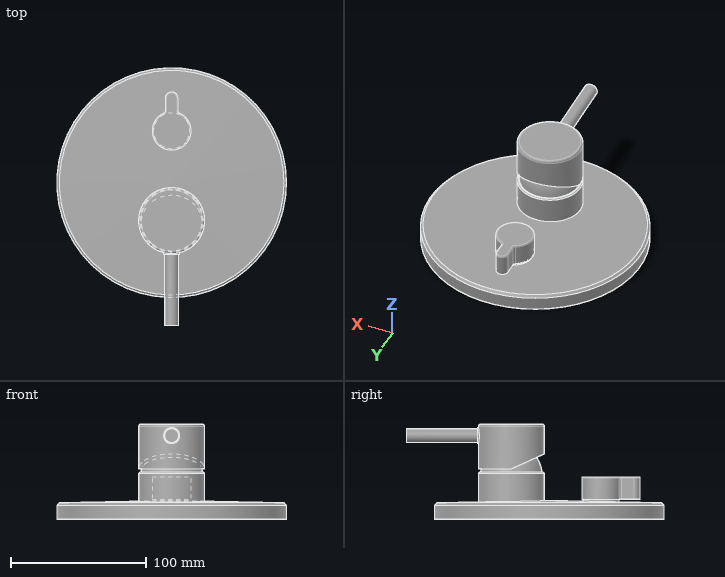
import cadquery as cq

total_length = 190.7
plate_diameter = 170.0
plate_radius = plate_diameter / 2
plate_side_height = 10.5
plate_rim_height = 12.4
plate_rim_inset = 2.0
plate_crown_height = 14.1

mixer_y = -28.0
mixer_radius = 24.5
base_top = 35.0
base_chamfer = 1.0
ball_radius = 22.9
ball_centre_z = 32.8
head_bottom = 37.4
head_top = 70.5
head_back_bottom = 48.5
head_fillet = 1.7

lever_z = 62.0
lever_radius = 5.1
lever_tip_y = plate_radius - total_length
collar_radius = 6.0
collar_projection = 0.8

knob_y = 38.3
knob_radius = 14.3
knob_bottom = 14.9
knob_top = 31.5
knob_edge_fillet = 0.8
knob_foot_radius = 13.4
grip_half_width = 4.5
grip_tip_y = 67.1
grip_root_fillet = 2.0


def cylinder(radius, y, bottom, top):
    """Vertical cylinder on the plane X = 0."""
    return cq.Workplane("XY", origin=(0, y, bottom)).circle(radius).extrude(top - bottom)


def rod(radius, end_y):
    """Rod at lever height from the mixer axis to end_y."""
    return cq.Workplane("XZ", origin=(0, mixer_y, lever_z)).circle(radius).extrude(mixer_y - end_y)


def make_plate():
    """Disc with a bevelled rim and a slightly conical front."""
    return (
        cq.Workplane("XZ")
        .lineTo(plate_radius, 0)
        .lineTo(plate_radius, plate_side_height)
        .lineTo(plate_radius - plate_rim_inset, plate_rim_height)
        .lineTo(0, plate_crown_height)
        .close()
        .revolve(360, (0, 0), (0, 1))
    )


def make_head():
    """Cylindrical head whose rear half is cut away by a rising slope."""
    head = cylinder(mixer_radius, mixer_y, head_bottom, head_top).faces(">Z").edges().fillet(head_fillet)
    slope_cut = (
        cq.Workplane("YZ")
        .moveTo(mixer_y, head_bottom)
        .lineTo(mixer_y + mixer_radius, head_back_bottom)
        .lineTo(mixer_y + mixer_radius, head_bottom)
        .close()
        .extrude(mixer_radius, both=True)
    )
    return head.cut(slope_cut)


def make_mixer():
    """Base, ball neck, head and lever."""
    base = cylinder(mixer_radius, mixer_y, 0, base_top).faces(">Z").edges().chamfer(base_chamfer)
    ball = cq.Workplane("XY", origin=(0, mixer_y, ball_centre_z)).sphere(ball_radius)
    neck = ball.intersect(cylinder(mixer_radius, mixer_y, plate_side_height, head_top))
    collar = rod(collar_radius, mixer_y - mixer_radius - collar_projection)
    return base.union(neck).union(make_head()).union(collar).union(rod(lever_radius, lever_tip_y))


def make_knob():
    """Round knob with a grip, standing on a narrower foot."""
    body = cylinder(knob_radius, knob_y, knob_bottom, knob_top)
    grip_end_y = grip_tip_y - grip_half_width
    bar_length = grip_end_y - knob_y
    bar = (
        cq.Workplane("XY", origin=(0, knob_y + bar_length / 2, knob_bottom))
        .rect(2 * grip_half_width, bar_length)
        .extrude(knob_top - knob_bottom)
    )
    inner_corners = cq.selectors.BoxSelector(
        (-knob_radius, knob_y + grip_half_width, knob_bottom),
        (knob_radius, grip_end_y - grip_half_width, knob_top),
    )
    knob = body.union(bar).edges("|Z").edges(inner_corners).fillet(grip_root_fillet)
    knob = knob.union(cylinder(grip_half_width, grip_end_y, knob_bottom, knob_top))
    knob = knob.faces(">Z").edges().fillet(knob_edge_fillet)
    return knob.union(cylinder(knob_foot_radius, knob_y, 0, knob_bottom))


result = make_plate().union(make_mixer()).union(make_knob())